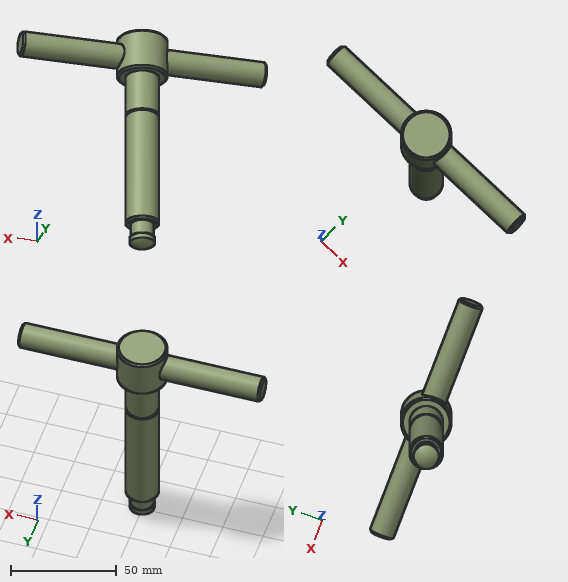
import cadquery as cq

total_height = 110.0
edge_chamfer = 1.0

bar_length = 120.0
bar_diameter = 12.0

head_diameter = 24.0
head_height = 20.0

shaft_radius = head_diameter / 3
shaft_length = 78.0
groove_drop = 20.4
groove_width = 0.7
groove_depth = 0.2

neck_radius = 11.0 / 2
collar_radius = 12.0 / 2
collar_height = 2.8
dome_height = 2.3

head_bottom = total_height - head_height
head_middle = total_height - head_height / 2
shaft_bottom = head_bottom - shaft_length
groove_level = head_bottom - groove_drop
collar_top = dome_height + collar_height


def make_head():
    """Cylindrical head, chamfered at both ends."""
    head = cq.Workplane("XY", origin=(0, 0, head_bottom)).circle(head_diameter / 2).extrude(head_height)
    return head.faces("<Z or >Z").chamfer(edge_chamfer)


def make_bar():
    """Cross bar through the middle of the head, chamfered at both ends."""
    bar = cq.Workplane("YZ", origin=(0, 0, head_middle)).circle(bar_diameter / 2)
    return bar.extrude(bar_length / 2, both=True).faces("<X or >X").chamfer(edge_chamfer)


def make_spindle():
    """Grooved shaft, neck and domed collar revolved as one profile."""
    dome_radius = (collar_radius**2 + dome_height**2) / (2 * dome_height)
    dome_mid_radius = collar_radius / 2
    dome_mid_level = dome_radius - (dome_radius**2 - dome_mid_radius**2) ** 0.5
    profile = (
        cq.Workplane("XZ")
        .moveTo(0, 0)
        .threePointArc((dome_mid_radius, dome_mid_level), (collar_radius, dome_height))
        .lineTo(collar_radius, collar_top)
        .lineTo(neck_radius, collar_top)
        .lineTo(neck_radius, shaft_bottom)
        .lineTo(shaft_radius - edge_chamfer, shaft_bottom)
        .lineTo(shaft_radius, shaft_bottom + edge_chamfer)
        .lineTo(shaft_radius, groove_level - groove_width / 2)
        .lineTo(shaft_radius - groove_depth, groove_level - groove_width / 2)
        .lineTo(shaft_radius - groove_depth, groove_level + groove_width / 2)
        .lineTo(shaft_radius, groove_level + groove_width / 2)
        .lineTo(shaft_radius, head_middle)
        .lineTo(0, head_middle)
        .close()
    )
    return profile.revolve(360, (0, 0, 0), (0, 1, 0))


result = make_head().union(make_spindle()).union(make_bar())